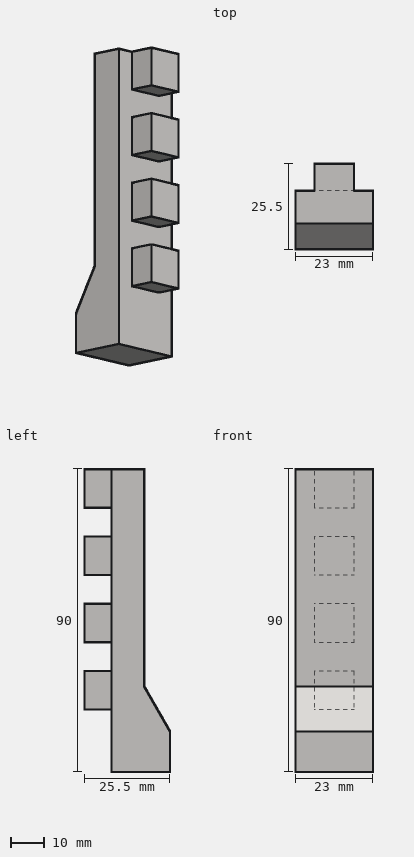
import cadquery as cq

width = 23.0
depth = 25.5
height = 90.0

tooth_depth = 8.0
upright_thickness = 9.8
foot_height = 12.1
slope_top = 25.4

tooth_width = 11.8
tooth_height = 11.5
tooth_pitch = 20.0
tooth_count = 4

back_face = depth - tooth_depth
upright_front = back_face - upright_thickness


def make_bar():
    """Side profile in the YZ plane, extruded across the width."""
    profile = [
        (0, 0),
        (back_face, 0),
        (back_face, height),
        (upright_front, height),
        (upright_front, slope_top),
        (0, foot_height),
    ]
    return cq.Workplane("YZ").polyline(profile).close().extrude(width / 2, both=True)


def make_tooth(top):
    """Block centred across the width, rooted on the back face, ending at the given top height."""
    return (
        cq.Workplane("XY", origin=(0, back_face, top - tooth_height))
        .box(tooth_width, tooth_depth, tooth_height, centered=(True, False, False))
    )


result = make_bar()
for index in range(tooth_count):
    result = result.union(make_tooth(height - index * tooth_pitch))